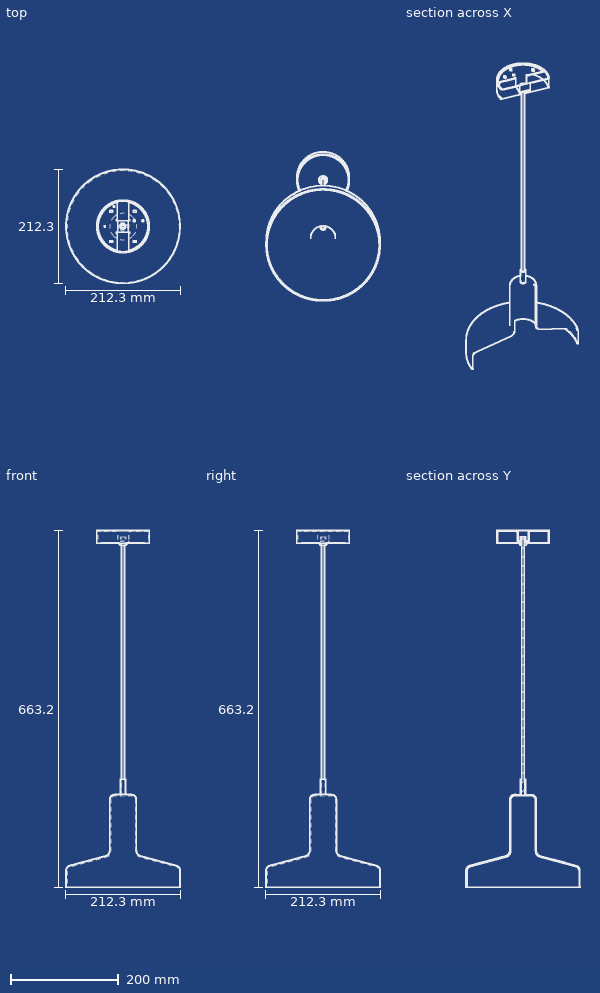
import cadquery as cq
import math

total_height = 663.18

arc_middle = math.sqrt(0.5)

rim_radius = 212.28 / 2
neck_radius = 25.0
shade_wall = 2.0
blend_radius = 10.0
cone_angle = math.radians(15)
skirt_height = 31.0
neck_top = 172.6

cord_radius = 3.0
ferrule_radius = 5.0
ferrule_height = 28.0

canopy_radius = 49.0
canopy_height = 24.0
canopy_wall = 2.0
canopy_floor_thickness = 1.0
canopy_bottom = total_height - canopy_height
canopy_floor = canopy_bottom + canopy_floor_thickness

plate_radius = 46.0
sheet_thickness = 1.5
plate_recess = 0.5
plate_top = total_height - plate_recess
plate_bottom = plate_top - sheet_thickness
channel_width = 22.0
saddle_width_y = 21.0
saddle_depth = 20.0
relief_width_y = 25.0
saddle_inner_width = 19.0
bend_inner_radius = 1.5
bend_outer_radius = bend_inner_radius + sheet_thickness
relief_width_x = saddle_inner_width + 2 * bend_outer_radius
slot_spacing_x = 44.0
slot_spacing_y = 56.0
slot_length = 6.0
slot_width = 3.5
small_hole_diameter = 2.5
small_hole_places = [(-34.0, 0.0), (-17.0, 37.0)]
large_hole_diameter = 3.5
large_hole_places = [(21.0, 10.5), (37.0, 10.5)]

gland_radius = 5.0
gland_head_radius = 8.0
gland_tip_radius = 5.0
gland_drop = 4.0
gland_top_depth = 11.0
saddle_bottom = plate_top - saddle_depth
gland_top = plate_top - gland_top_depth


def cylinder(radius, bottom, top):
    return cq.Workplane("XY").workplane(offset=bottom).circle(radius).extrude(top - bottom)


def box(size_x, size_y, bottom, top):
    return cq.Workplane("XY").workplane(offset=bottom).rect(size_x, size_y).extrude(top - bottom)


def shade_solid(offset):
    """Turned shade shape with every surface moved inward by offset; the rim stays on z = 0."""
    outer = rim_radius - offset
    neck = neck_radius - offset
    convex = blend_radius - offset
    concave = blend_radius + offset
    top = neck_top - offset

    skirt_centre_r = rim_radius - blend_radius
    foot_centre_r = neck_radius + blend_radius
    normal_r = math.sin(cone_angle)
    normal_z = math.cos(cone_angle)
    cone_run = skirt_centre_r - foot_centre_r + 2 * blend_radius * normal_r
    cone_rise = cone_run * math.tan(cone_angle)
    foot_centre_z = skirt_height + 2 * blend_radius * normal_z + cone_rise

    middle_angle = (math.pi / 2 - cone_angle) / 2
    middle_r = math.cos(middle_angle)
    middle_z = math.sin(middle_angle)
    shoulder_r = neck - convex
    shoulder_z = top - convex

    profile = (
        cq.Workplane("XZ")
        .lineTo(outer, 0)
        .lineTo(outer, skirt_height)
        .threePointArc(
            (skirt_centre_r + convex * middle_r, skirt_height + convex * middle_z),
            (skirt_centre_r + convex * normal_r, skirt_height + convex * normal_z),
        )
        .lineTo(foot_centre_r - concave * normal_r, foot_centre_z - concave * normal_z)
        .threePointArc(
            (foot_centre_r - concave * middle_r, foot_centre_z - concave * middle_z),
            (neck, foot_centre_z),
        )
        .lineTo(neck, shoulder_z)
        .threePointArc(
            (shoulder_r + convex * arc_middle, shoulder_z + convex * arc_middle),
            (shoulder_r, top),
        )
        .lineTo(0, top)
        .close()
    )
    return profile.revolve(360, (0, 0), (0, 1))


def make_shade():
    shell = shade_solid(0).cut(shade_solid(shade_wall))
    return shell.cut(cylinder(cord_radius, neck_top - shade_wall, neck_top))


def make_ferrule():
    ferrule_top = neck_top + ferrule_height
    return cylinder(ferrule_radius, neck_top, ferrule_top).cut(
        cylinder(cord_radius, neck_top, ferrule_top)
    )


def make_cord():
    return cylinder(cord_radius, neck_top - shade_wall, gland_top)


def make_canopy():
    cup = cylinder(canopy_radius, canopy_bottom, total_height)
    cup = cup.cut(cylinder(canopy_radius - canopy_wall, canopy_floor, total_height))
    return cup.cut(cylinder(gland_radius, canopy_bottom, canopy_floor))


def saddle_solid():
    """Bent sheet that drops from one wing, crosses under the channel and rises to the other."""
    outer_half = saddle_inner_width / 2 + sheet_thickness
    inner_half = saddle_inner_width / 2
    bend_start = relief_width_x / 2
    bend_end = plate_top - bend_outer_radius
    top_bend = (bend_start - bend_outer_radius * arc_middle, bend_end + bend_outer_radius * arc_middle)
    under_bend = (bend_start - bend_inner_radius * arc_middle, bend_end + bend_inner_radius * arc_middle)
    half = (
        cq.Workplane("XZ")
        .moveTo(0, saddle_bottom)
        .lineTo(outer_half, saddle_bottom)
        .lineTo(outer_half, bend_end)
        .threePointArc(under_bend, (bend_start, plate_bottom))
        .lineTo(bend_start, plate_top)
        .threePointArc(top_bend, (inner_half, bend_end))
        .lineTo(inner_half, saddle_bottom + sheet_thickness)
        .lineTo(0, saddle_bottom + sheet_thickness)
        .close()
        .extrude(saddle_width_y / 2, both=True)
    )
    return half.union(half.mirror("YZ"))


def make_mount():
    mount = cylinder(plate_radius, plate_bottom, plate_top)
    mount = mount.cut(box(channel_width, 2 * plate_radius, plate_bottom, plate_top))
    mount = mount.cut(box(relief_width_x, relief_width_y, plate_bottom, plate_top))
    mount = mount.union(saddle_solid())

    through = cq.Workplane("XY").workplane(offset=plate_bottom)
    slots = through.rarray(slot_spacing_x, slot_spacing_y, 2, 2)
    mount = mount.cut(slots.slot2D(slot_length, slot_width).extrude(sheet_thickness))
    for places, diameter in (
        (small_hole_places, small_hole_diameter),
        (large_hole_places, large_hole_diameter),
    ):
        mount = mount.cut(through.pushPoints(places).circle(diameter / 2).extrude(sheet_thickness))

    return mount.cut(cylinder(gland_radius, saddle_bottom, plate_top))


def make_gland():
    gland_bottom = canopy_bottom - gland_drop
    head = (
        cq.Workplane("XZ")
        .moveTo(0, gland_bottom)
        .lineTo(gland_tip_radius, gland_bottom)
        .lineTo(gland_head_radius, canopy_bottom)
        .lineTo(0, canopy_bottom)
        .close()
        .revolve(360, (0, 0), (0, 1))
    )
    gland = head.union(cylinder(gland_radius, canopy_bottom, gland_top))
    return gland.cut(cylinder(cord_radius, gland_bottom, gland_top))


shade = make_shade()
ferrule = make_ferrule()
cord = make_cord()
canopy = make_canopy()
mount = make_mount()
gland = make_gland()

result = cq.Compound.makeCompound(
    [shade.val(), ferrule.val(), cord.val(), canopy.val(), mount.val(), gland.val()]
)